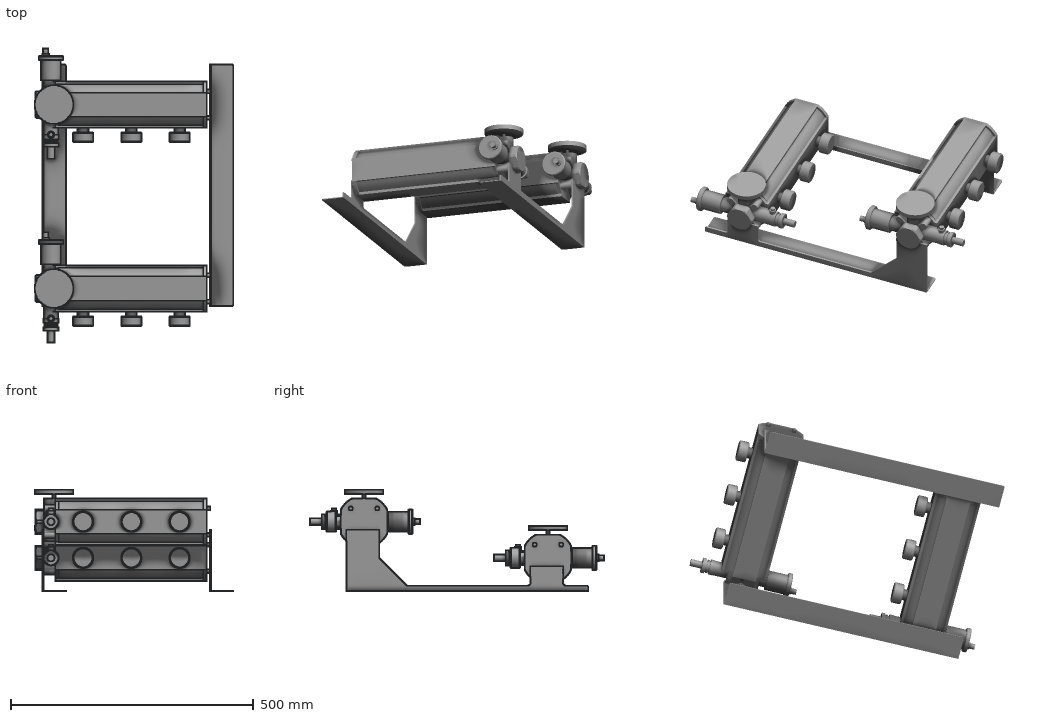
import cadquery as cq
import math


front_axis_y = 36.5
axis_pitch_y = 380.0
front_axis_z = 144.0
axis_drop_z = 75.0

left_plate = 3.5
right_plate = 2.5
foot_plate = 2.0
foot_width = 49.0
right_bracket_x = 346.5
right_foot_end_x = 395.0
bracket_length = 500.0
rail_height = 12.0
column_front = 36.5
column_rear = 31.5
column_top_drop = 17.0
brace_rise = 57.0
bend_fillet = 5.0
rail_end_chamfer = 2.5
foot_corner_fillet = 4.0

tube_start_x = 27.5
tube_end_x = 340.5
tube_half = 48.0
cap_thickness = 7.0
corner_half = 25.0
tube_corner_radius = 49.0
end_cap_radius = 54.0
start_cap_step = 42.0
rod_offset = 27.5
rod_radius = 4.0

knob_first_x = 84.5
knob_pitch = 100.0
knob_count = 3
knob_radius = 21.0
knob_start = 57.0
knob_end = 78.0
knob_chamfer = 2.0
knob_neck_radius = 11.5

valve_axis_x = 18.0
arm_radius = 14.5
lug_offset = 27.5
lug_radius = 7.0

nut_face_x = -14.0
nut_flats = 51.0
nut_corner_radius = 28.0
nut_face_radius = 25.5
nut_chamfer = 2.5

wheel_axis_x = 24.5
wheel_radius = 40.0
wheel_bottom = 57.0
wheel_top = 66.0
stem_radius = 3.35

cup_radius = 20.5
cup_start = 50.0
cup_end = 91.0
cup_neck_radius = 15.0
lid_radius = 25.5
lid_end = 101.0
lid_chamfer = 2.0
nozzle_axis_x = 7.0
nozzle_collar_radius = 7.0
nozzle_collar_end = 105.0
nozzle_radius = 5.8
nozzle_end = 116.0

drain_steps = [
    (15.0, 62.0),
    (16.0, 71.0),
    (12.0, 74.0),
    (14.0, 77.0),
    (12.0, 80.0),
    (16.0, 87.5),
    (7.0, 112.0),
]
screw_y = -62.0
screw_base_radius = 6.5
screw_base_top = 22.5
screw_head_radius = 5.0
screw_head_top = 27.5


def cylinder(start, direction, length, radius):
    return cq.Workplane(cq.Solid.makeCylinder(radius, length, cq.Vector(*start), cq.Vector(*direction)))


def along_x(x_start, x_end, y, z, radius):
    return cylinder((x_start, y, z), (1, 0, 0), x_end - x_start, radius)


def along_y(x, y_start, y_end, radius):
    return cylinder((x, y_start, 0), (0, 1, 0), y_end - y_start, radius)


def along_z(x, y, z_start, z_end, radius):
    return cylinder((x, y, z_start), (0, 0, 1), z_end - z_start, radius)


def block(x_start, x_end, half_y, half_z):
    """Box centred on the X axis."""
    length = x_end - x_start
    return cq.Workplane("XY").box(length, 2 * half_y, 2 * half_z).translate((x_start + length / 2, 0, 0))


def cross_block(x_start, x_end):
    """Square bar whose four corners are notched out."""
    return block(x_start, x_end, tube_half, corner_half).union(block(x_start, x_end, corner_half, tube_half))


def tube():
    body_start = tube_start_x + cap_thickness
    body_end = tube_end_x - cap_thickness
    body = along_x(body_start, body_end, 0, 0, tube_corner_radius)
    body = body.intersect(block(body_start, body_end, tube_half, tube_half))
    body = body.union(cross_block(body_start, body_end))
    bevel_half = (corner_half + start_cap_step) / math.sqrt(2)
    bevels = block(tube_start_x, body_start, bevel_half, bevel_half).rotate((0, 0, 0), (1, 0, 0), 45)
    start_cap = block(tube_start_x, body_start, start_cap_step, start_cap_step).intersect(bevels)
    start_cap = start_cap.union(cross_block(tube_start_x, body_start))
    end_cap = block(body_end, tube_end_x, tube_half, tube_half)
    end_cap = end_cap.intersect(along_x(body_end, tube_end_x, 0, 0, end_cap_radius))
    solid = body.union(start_cap).union(end_cap)
    for y in (-rod_offset, rod_offset):
        for z in (-rod_offset, rod_offset):
            rod_end = right_bracket_x + right_plate / 2
            solid = solid.union(along_x(body_end, rod_end, y, z, rod_radius))
    return solid


def knob(x):
    neck = along_y(x, -knob_start, -corner_half, knob_neck_radius)
    grip = along_y(x, -knob_end, -knob_start, knob_radius).edges().chamfer(knob_chamfer)
    return neck.union(grip)


def valve_arm():
    """Arm running up from the axis: half round towards the nut, square towards the tube."""
    square_length = tube_start_x - valve_axis_x
    return (
        cq.Workplane("XY")
        .moveTo(tube_start_x, -arm_radius)
        .line(-square_length, 0)
        .threePointArc((valve_axis_x - arm_radius, 0), (valve_axis_x, arm_radius))
        .line(square_length, 0)
        .close()
        .extrude(tube_half)
    )


def valve_lug():
    """Round-ended lug reaching out from the axis along +Z."""
    reach = lug_offset * math.sqrt(2)
    return (
        cq.Workplane("YZ", origin=(left_plate, 0, 0))
        .moveTo(-lug_radius, 0)
        .lineTo(-lug_radius, reach)
        .threePointArc((0, reach + lug_radius), (lug_radius, reach))
        .lineTo(lug_radius, 0)
        .close()
        .extrude(tube_start_x - left_plate)
    )


def valve_body():
    """Arms to the handwheel, vent and drain, with a lug on each of the four diagonals."""
    body = cq.Workplane("XY")
    for angle in (-90, 0, 90):
        body = body.union(valve_arm().rotate((0, 0, 0), (1, 0, 0), angle))
    for angle in (45, 135, 225, 315):
        body = body.union(valve_lug().rotate((0, 0, 0), (1, 0, 0), angle))
    return body


def nut():
    """Hexagon with its top and bottom level, its corners turned down and its face edge chamfered."""
    nut_corners = nut_flats / math.cos(math.pi / 6)
    hexagon = cq.Workplane("YZ", origin=(nut_face_x, 0, 0)).polygon(6, nut_corners)
    turned = (
        cq.Workplane("XY")
        .moveTo(nut_face_x, 0)
        .lineTo(nut_face_x, nut_face_radius)
        .lineTo(nut_face_x + nut_chamfer, nut_corner_radius)
        .lineTo(left_plate, nut_corner_radius)
        .lineTo(left_plate, 0)
        .close()
        .revolve(360, (0, 0, 0), (1, 0, 0))
    )
    return hexagon.extrude(left_plate - nut_face_x).intersect(turned)


def handwheel():
    stem = along_z(wheel_axis_x, 0, corner_half, wheel_bottom, stem_radius)
    wheel = along_z(wheel_axis_x, 0, wheel_bottom, wheel_top, wheel_radius)
    return stem.union(wheel)


def vent_cup():
    lid = along_y(valve_axis_x, cup_end, lid_end, lid_radius).edges().chamfer(lid_chamfer)
    return (
        along_y(valve_axis_x, 0, cup_start, cup_neck_radius)
        .union(along_y(valve_axis_x, cup_start, cup_end, cup_radius))
        .union(lid)
        .union(along_y(nozzle_axis_x, lid_end, nozzle_collar_end, nozzle_collar_radius))
        .union(along_y(nozzle_axis_x, nozzle_collar_end, nozzle_end, nozzle_radius))
    )


def drain_fitting():
    fitting = cq.Workplane("XY")
    start = 0
    for radius, end in drain_steps:
        fitting = fitting.union(along_y(valve_axis_x, -end, -start, radius))
        start = end
    fitting = fitting.union(along_z(valve_axis_x, screw_y, 0, screw_base_top, screw_base_radius))
    return fitting.union(along_z(valve_axis_x, screw_y, 0, screw_head_top, screw_head_radius))


def manifold():
    solid = tube().union(valve_body()).union(nut()).union(handwheel())
    solid = solid.union(vent_cup()).union(drain_fitting())
    for index in range(knob_count):
        solid = solid.union(knob(knob_first_x + index * knob_pitch))
    return solid


def bracket(outer_x, plate, foot_end_x):
    """Upright plate with a tall front column and a short rear column, on a flat foot."""
    front_top = front_axis_z - column_top_drop
    rear_top = front_top - axis_drop_z
    front_column_y = front_axis_y + column_rear
    rear_axis_y = front_axis_y + axis_pitch_y
    rear_column_start = rear_axis_y - column_front
    rear_column_end = rear_axis_y + column_rear
    upright = (
        cq.Workplane("YZ", origin=(outer_x, 0, 0))
        .moveTo(0, 0)
        .lineTo(0, front_top)
        .lineTo(front_column_y, front_top)
        .lineTo(front_column_y, rail_height + brace_rise)
        .lineTo(front_column_y + brace_rise, rail_height)
        .lineTo(rear_column_start, rail_height)
        .lineTo(rear_column_start, rear_top)
        .lineTo(rear_column_end, rear_top)
        .lineTo(rear_column_end, rail_height)
        .lineTo(bracket_length - rail_end_chamfer, rail_height)
        .lineTo(bracket_length, rail_height - rail_end_chamfer)
        .lineTo(bracket_length, 0)
        .close()
        .extrude(plate)
    )
    for y in (rear_column_start, rear_column_end):
        bend = cq.selectors.NearestToPointSelector((outer_x + plate / 2, y, rail_height))
        upright = upright.edges(bend).fillet(bend_fillet)
    foot = cq.Workplane("XY").box(foot_end_x - outer_x, bracket_length, foot_plate, centered=False)
    foot = foot.translate((outer_x, 0, 0)).edges("|Z and >X").fillet(foot_corner_fillet)
    return upright.union(foot)


front_manifold = manifold().translate((0, front_axis_y, front_axis_z))
rear_manifold = front_manifold.translate((0, axis_pitch_y, -axis_drop_z))
left_bracket = bracket(0, left_plate, foot_width)
right_bracket = bracket(right_bracket_x, right_plate, right_foot_end_x)
supports = left_bracket.union(right_bracket)
result = supports.union(front_manifold).union(rear_manifold)